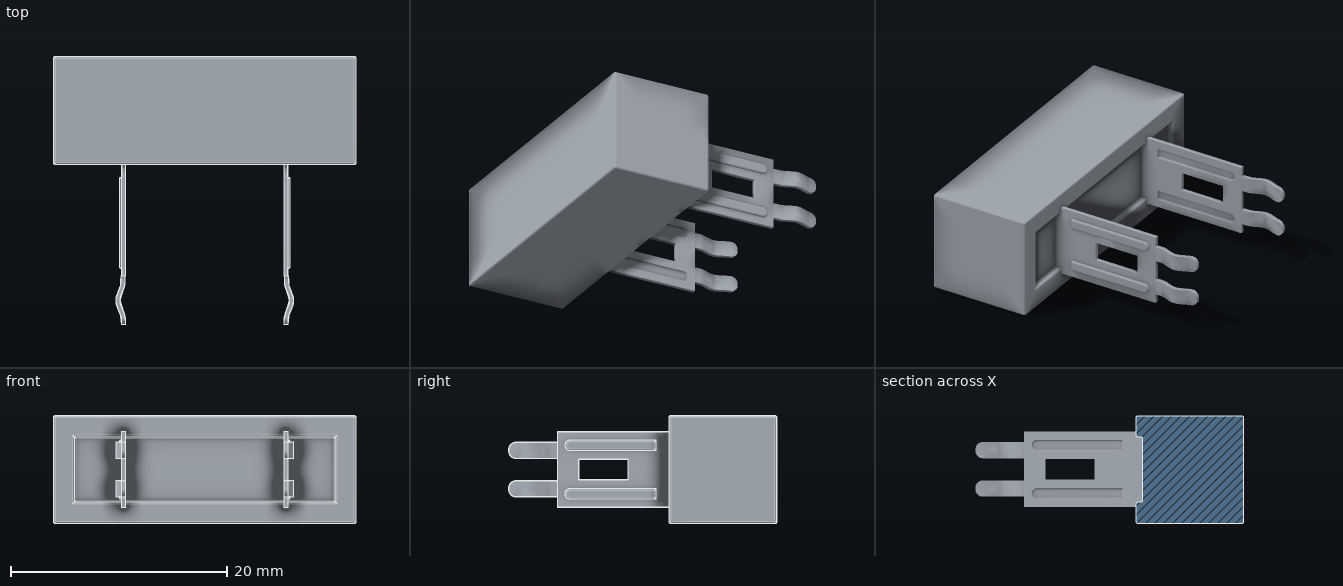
import cadquery as cq

block_length = 28.0
block_side = 10.0
block_round = 0.2

pocket_length = 24.08
pocket_height = 6.0
pocket_depth = 0.6
rim_round = 0.2
floor_round = 0.1

plate_outer_x = 7.7
plate_thickness = 0.4
plate_height = 7.0
plate_reach = 10.3

window_start = 3.78
window_length = 4.55
window_height = 1.88

rib_start = 1.18
rib_length = 8.43
rib_width = 0.98
rib_rise = 0.2
rib_round = 0.17
rib_spacing = 4.48

overall_depth = 24.8
pin_length = overall_depth - block_side - plate_reach
pin_width = 1.5
pin_spacing = 3.55
pin_tip_round = 0.7
pin_root_offset = 0.05
pin_bend_offset = 0.1
pin_crest_offset = 0.53
pin_crest_at = pin_length / 2
pin_bend_run = 1.32


def make_block():
    block = (
        cq.Workplane("XY")
        .box(block_length, block_side, block_side)
        .translate((0, block_side / 2, 0))
        .edges()
        .fillet(block_round)
    )
    pocket = cq.Workplane("XY").box(pocket_length, 2 * pocket_depth, pocket_height)
    pocket = pocket.faces(">Y").edges().fillet(floor_round)
    block = block.cut(pocket)
    rim = cq.selectors.BoxSelector(
        (-pocket_length / 2 - rim_round, -rim_round, -pocket_height / 2 - rim_round),
        (pocket_length / 2 + rim_round, rim_round, pocket_height / 2 + rim_round),
    )
    return block.faces("<Y").edges(rim).fillet(rim_round)


def make_rib(base_x, z):
    """Round-edged bar rising toward +X, square at the block end and round at the pin end."""
    half_width = rib_width / 2
    round_start = -rib_start - rib_length + half_width
    return (
        cq.Workplane("YZ", origin=(base_x, 0, z))
        .moveTo(-rib_start, -half_width)
        .lineTo(-rib_start, half_width)
        .lineTo(round_start, half_width)
        .threePointArc((round_start - half_width, 0), (round_start, -half_width))
        .close()
        .extrude(rib_rise)
        .faces(">X")
        .edges()
        .fillet(rib_round)
    )


def make_pin(z):
    """Strip bowed outward, with rounded bends and a rounded tip."""
    outer_face = [
        (plate_outer_x + pin_root_offset, -plate_reach),
        (plate_outer_x + pin_bend_offset, -plate_reach - pin_crest_at + pin_bend_run),
        (plate_outer_x + pin_crest_offset, -plate_reach - pin_crest_at),
        (plate_outer_x + pin_bend_offset, -plate_reach - pin_crest_at - pin_bend_run),
        (plate_outer_x, -plate_reach - pin_length),
    ]
    inner_face = [(x - plate_thickness, y) for x, y in reversed(outer_face)]
    along_pin = [(0, -1), (0, -1)]
    back_along_pin = [(0, 1), (0, 1)]
    strip = (
        cq.Workplane("XY", origin=(0, 0, z - pin_width / 2))
        .moveTo(*outer_face[0])
        .spline(outer_face[1:], tangents=along_pin, includeCurrent=True)
        .lineTo(*inner_face[0])
        .spline(inner_face[1:], tangents=back_along_pin, includeCurrent=True)
        .close()
        .extrude(pin_width)
    )
    side_outline = (
        cq.Workplane("XY")
        .box(block_length, pin_length, pin_width)
        .translate((0, -plate_reach - pin_length / 2, z))
        .faces("<Y")
        .edges("|X")
        .fillet(pin_tip_round)
    )
    return strip.intersect(side_outline)


def make_terminal():
    """Terminal on the +X side."""
    inner_x = plate_outer_x - plate_thickness
    mid_x = plate_outer_x - plate_thickness / 2
    plate_length = plate_reach + pocket_depth
    plate = (
        cq.Workplane("XY")
        .box(plate_thickness, plate_length, plate_height)
        .translate((mid_x, plate_length / 2 - plate_reach, 0))
    )
    window = (
        cq.Workplane("XY")
        .box(2 * plate_thickness, window_length, window_height)
        .translate((mid_x, -window_start - window_length / 2, 0))
    )
    terminal = plate.cut(window)
    for side in (-1, 1):
        rib_z = side * rib_spacing / 2
        terminal = terminal.union(make_rib(plate_outer_x, rib_z))
        terminal = terminal.cut(make_rib(inner_x, rib_z))
        terminal = terminal.union(make_pin(side * pin_spacing / 2))
    return terminal


terminal = make_terminal()
result = make_block().union(terminal).union(terminal.mirror("YZ"))